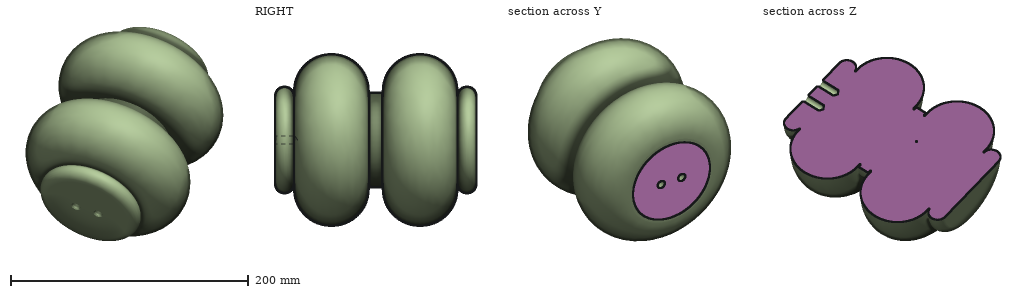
import cadquery as cq
import math

length = 170.0
lobe_diameter = 145.0
lobe_width = 63.0
lobe_gap = 11.7
girdle_diameter = 80.0
girdle_width = 10.7
neck_diameter = 74.0

hole_diameter = 6.6
hole_mouth_diameter = 8.5
hole_spacing = 20.0
hole_depth = 17.0
drill_point_angle = 118.0

end_bead_width = (length - lobe_gap) / 2 - lobe_width
end_bead_diameter = neck_diameter + end_bead_width


def disc(diameter, width, center_y):
    """Plain cylinder along Y, centered at center_y."""
    return (
        cq.Workplane("XZ", origin=(0, center_y, 0))
        .circle(diameter / 2)
        .extrude(width / 2, both=True)
    )


def round_rim_disc(diameter, width, center_y):
    """Disc along Y whose rim is a full half circle."""
    rim_radius = width / 2
    flat_radius = diameter / 2 - rim_radius
    low_y = center_y - rim_radius
    high_y = center_y + rim_radius
    return (
        cq.Workplane("XY")
        .moveTo(0, low_y)
        .lineTo(flat_radius, low_y)
        .threePointArc((diameter / 2, center_y), (flat_radius, high_y))
        .lineTo(0, high_y)
        .close()
        .revolve(360, (0, 0, 0), (0, 1, 0))
    )


def drilled_hole(center_x):
    """Cutter for a countersunk blind hole with a conical drill point."""
    radius = hole_diameter / 2
    mouth_radius = hole_mouth_diameter / 2
    countersink_depth = mouth_radius - radius
    point_depth = radius / math.tan(math.radians(drill_point_angle / 2))
    return (
        cq.Workplane("XY", origin=(center_x, -length / 2, 0))
        .moveTo(0, 0)
        .lineTo(mouth_radius, 0)
        .lineTo(radius, countersink_depth)
        .lineTo(radius, hole_depth)
        .lineTo(0, hole_depth + point_depth)
        .close()
        .revolve(360, (0, 0, 0), (0, 1, 0))
    )


result = disc(neck_diameter, lobe_gap, 0).union(disc(girdle_diameter, girdle_width, 0))

lobe_center = (lobe_gap + lobe_width) / 2
end_bead_center = (length - end_bead_width) / 2
for side in (-1, 1):
    result = result.union(round_rim_disc(lobe_diameter, lobe_width, side * lobe_center))
    result = result.union(round_rim_disc(end_bead_diameter, end_bead_width, side * end_bead_center))

for side in (-1, 1):
    result = result.cut(drilled_hole(side * hole_spacing / 2))